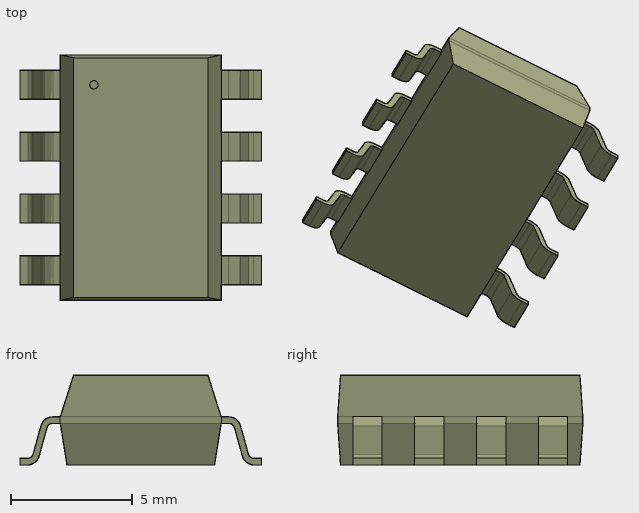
import cadquery as cq
import math

body_length = 10.06
body_width = 6.6
body_height = 3.69
band_height = 0.28
band_bottom = 1.7
top_inset_x = 0.54
bottom_inset_x = 0.27
end_inset_y = 0.12

span = 9.91
leads_per_side = 4
lead_pitch = 2.54
lead_width = 1.2
lead_thickness = band_height
bend_outer_radius = 0.51
bend_inner_radius = 0.22
bend_angle = 74.5
shoulder_length = 0.3

marker_diameter = 0.34
marker_depth = 0.1
marker_edge_distance = 1.38

band_top = band_bottom + band_height
first_lead_y = (leads_per_side - 1) * lead_pitch / 2
marker_x = marker_edge_distance - body_width / 2


def taper(start_z, end_z, inset_x, inset_y):
    """Loft from the full band outline at start_z to an inset rectangle at end_z."""
    return (
        cq.Workplane("XY", origin=(0, 0, start_z))
        .rect(body_width, body_length)
        .workplane(offset=end_z - start_z)
        .rect(body_width - 2 * inset_x, body_length - 2 * inset_y)
        .loft(ruled=True)
    )


def make_marker():
    return (
        cq.Workplane("XY", origin=(marker_x, first_lead_y, body_height - marker_depth))
        .circle(marker_diameter / 2)
        .extrude(marker_depth)
    )


def make_housing():
    """Tapered package with a matching recess for the marker."""
    band = (
        cq.Workplane("XY", origin=(0, 0, band_bottom))
        .rect(body_width, body_length)
        .extrude(band_height)
    )
    upper = taper(band_top, body_height, top_inset_x, end_inset_y)
    lower = taper(band_bottom, 0, bottom_inset_x, end_inset_y)
    return band.union(upper).union(lower).cut(make_marker())


def make_lead(y_centre):
    """Lead on the +X side; a half turn of its upper surface gives its underside."""
    root_x = body_width / 2
    tip_x = span / 2
    angle = math.radians(bend_angle)

    bend_radii = bend_outer_radius + bend_inner_radius
    leg_drop = band_bottom - bend_radii * (1 - math.cos(angle))
    leg_run = leg_drop / math.tan(angle)

    outer_x = root_x + shoulder_length
    outer_z = band_top - bend_outer_radius
    inner_x = outer_x + bend_radii * math.sin(angle) + leg_run
    inner_z = lead_thickness + bend_inner_radius

    def on_outer(turn):
        return (
            outer_x + bend_outer_radius * math.sin(turn),
            outer_z + bend_outer_radius * math.cos(turn),
        )

    def on_inner(turn):
        return (
            inner_x - bend_inner_radius * math.sin(turn),
            inner_z - bend_inner_radius * math.cos(turn),
        )

    def half_turn(point):
        return (root_x + tip_x - point[0], band_top - point[1])

    shoulder_root = (root_x, band_top)
    foot_tip = (tip_x, lead_thickness)
    upper_bends = [
        [on_outer(0), on_outer(angle / 2), on_outer(angle)],
        [on_inner(angle), on_inner(angle / 2), on_inner(0)],
    ]
    lower_bends = [[half_turn(point) for point in bend] for bend in upper_bends]

    profile = cq.Workplane("XZ", origin=(0, y_centre + lead_width / 2, 0)).moveTo(*shoulder_root)
    for start, middle, end in upper_bends:
        profile = profile.lineTo(*start).threePointArc(middle, end)
    profile = profile.lineTo(*foot_tip).lineTo(*half_turn(shoulder_root))
    for start, middle, end in lower_bends:
        profile = profile.lineTo(*start).threePointArc(middle, end)
    return profile.lineTo(*half_turn(foot_tip)).close().extrude(lead_width)


housing = make_housing()
marker = make_marker()

leads = []
for index in range(leads_per_side):
    lead = make_lead(first_lead_y - index * lead_pitch)
    leads.append(lead.val())
    leads.append(lead.mirror("YZ").val())

result = cq.Compound.makeCompound([*housing.solids().vals(), marker.val(), *leads])